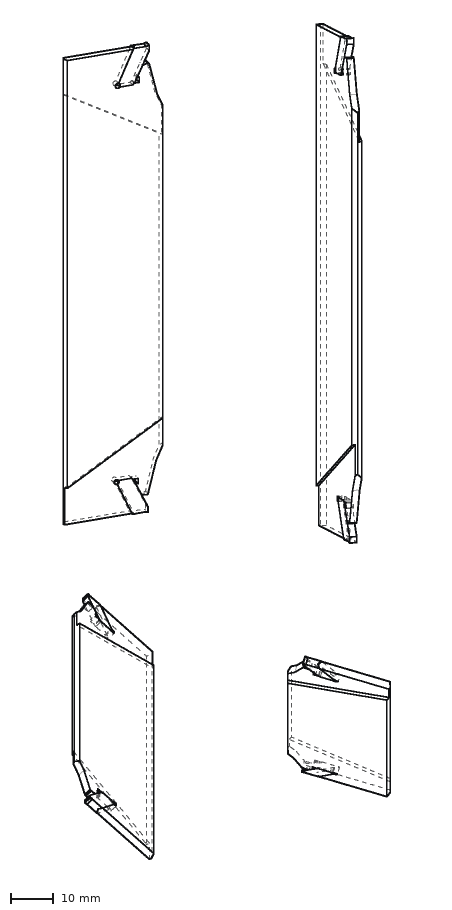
import cadquery as cq
import math

thickness = 2.5
width = 25.3
overall_length = 121.0
blade_length = 120.2
edge_rise = 0.5

end_thickness = 1.8
step_angle = 30.0
step_z_rear = 50.7

jaw_start_z = 43.3
jaw_bend = (10.8, 47.5)
jaw_tip = (8.7, 55.7)
jaw_tip_top = (8.4, 55.9)
jaw_throat_y = 7.0

seat_z = 51.0
insert_nose_y = 8.7
nose_height = 1.5
insert_back_y = 4.7
back_drop = 0.18
land_y = 8.0
land_drop = 0.2
insert_lean = 24.5
front_lean = 26.0
heel_chamfer = 0.5
ridge_height = 0.6
relief_radius = 0.6
relief_y = 0.7
relief_z = 51.3
gap_front_y = 6.2
gap_floor_z = 51.3
gap_top_z = 52.7

half_thickness = thickness / 2
half_width = width / 2
top_z = overall_length / 2
blade_top_z = blade_length / 2
end_x = half_thickness - end_thickness
end_mid_x = (end_x + half_thickness) / 2
back_slope = math.tan(math.radians(insert_lean))
front_slope = math.tan(math.radians(front_lean))
back_top_z = top_z - back_drop
nose_bottom_z = top_z - nose_height


def back_y(z):
    """Y of the flat back of the insert at height z."""
    return insert_back_y - (back_top_z - z) * back_slope


def front_y(z):
    """Y of the leaning front of the insert at height z."""
    return insert_nose_y - (nose_bottom_z - z) * front_slope


def prism(points, x_start, x_end):
    """Extrude a closed (y, z) outline along X."""
    plane = cq.Workplane("YZ", origin=(x_start, 0, 0))
    return plane.polyline(points).close().extrude(x_end - x_start)


def turn_over(body):
    """Carry a feature of the upper end to the lower end."""
    return body.rotate((0, 0, 0), (0, 1, 0), 180)


def make_bar():
    shoulder_y = half_width - edge_rise
    section = [
        (0, half_width),
        (half_thickness, shoulder_y),
        (half_thickness, -shoulder_y),
        (0, -half_width),
        (-half_thickness, -shoulder_y),
        (-half_thickness, shoulder_y),
    ]
    base = cq.Workplane("XY", origin=(0, 0, -blade_top_z))
    return base.polyline(section).close().extrude(blade_length)


def make_end_step():
    """Material removed from one face to thin the upper end."""
    step_drop = width * math.tan(math.radians(step_angle))
    outline = [
        (-half_width, step_z_rear),
        (half_width, step_z_rear - step_drop),
        (half_width, top_z),
        (-half_width, top_z),
    ]
    return prism(outline, -half_thickness, end_x)


def make_jaw_relief():
    """Material removed in front of the jaw and of the insert."""
    throat_z = nose_bottom_z - (insert_nose_y - jaw_throat_y) / front_slope
    outline = [
        (half_width, jaw_start_z),
        jaw_bend,
        jaw_tip,
        jaw_tip_top,
        (jaw_throat_y, throat_z),
        (insert_nose_y, nose_bottom_z),
        (insert_nose_y, top_z),
        (half_width, top_z),
    ]
    return prism(outline, -half_thickness, half_thickness)


def make_ridge():
    """V ridge running along the back of the insert."""
    base_y = back_y(seat_z)
    triangle = cq.Wire.makePolygon(
        [
            cq.Vector(end_x, base_y, seat_z),
            cq.Vector(end_mid_x, base_y + ridge_height, seat_z),
            cq.Vector(half_thickness, base_y, seat_z),
        ],
        close=True,
    )
    rise = top_z - seat_z
    along_back = cq.Vector(0, rise * back_slope, rise)
    return cq.Workplane(cq.Solid.extrudeLinear(triangle, [], along_back))


def make_relief_hole():
    """Round relief at the inner corner of the seat."""
    plane = cq.Workplane("YZ", origin=(-half_thickness, 0, 0))
    return plane.center(relief_y, relief_z).circle(relief_radius).extrude(thickness)


def make_insert_blank():
    heel_top_z = seat_z + heel_chamfer
    outline = [
        (insert_nose_y, top_z),
        (insert_nose_y, nose_bottom_z),
        (front_y(heel_top_z), heel_top_z),
        (front_y(heel_top_z) - heel_chamfer, seat_z),
        (back_y(seat_z), seat_z),
        (insert_back_y, back_top_z),
        (land_y, top_z - land_drop),
    ]
    return prism(outline, end_x, half_thickness)


def make_heel_gap():
    """Opening left between the heel of the insert and the jaw."""
    outline = [
        (gap_front_y, gap_floor_z),
        (gap_front_y, gap_top_z),
        (front_y(gap_top_z), gap_top_z),
        (back_y(gap_floor_z), gap_floor_z),
    ]
    return prism(outline, -half_thickness, half_thickness)


def make_insert():
    return make_insert_blank().cut(make_ridge()).cut(make_relief_hole())


def make_blade():
    seat = make_insert_blank().union(make_heel_gap()).cut(make_ridge()).union(make_relief_hole())
    blade = make_bar()
    for cutter in (make_end_step(), make_jaw_relief(), seat):
        blade = blade.cut(cutter).cut(turn_over(cutter))
    return blade


blade = make_blade()
upper_insert = make_insert()
inserts = []
for turn in (0, 180):
    inserts.append(upper_insert.rotate((0, 0, 0), (0, 1, 0), turn).val())

result = cq.Compound.makeCompound([blade.val(), *inserts])